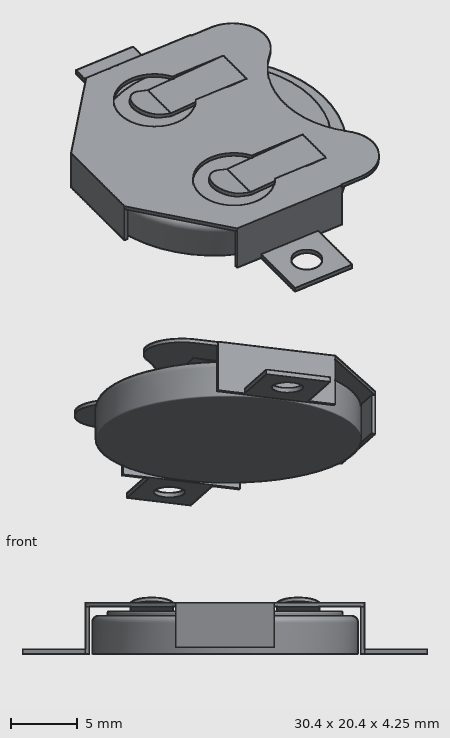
import cadquery as cq
import math


cell_radius = 10.0
can_height = 2.9
can_top_fillet = 0.52
can_bottom_fillet = 0.1
cap_radius = 8.85
cap_top = 3.22
cap_fillet = 0.15

sheet = 0.3
holder_top = 3.85
plate_bottom = holder_top - sheet
side_x = 10.5
side_half_length = 4.68
front_y = -10.4
front_half_width = 3.7
front_wall_bottom = 0.52

ear_radius = 2.9
ear_x = 7.5
ear_y = 6.48
notch_bottom_y = 6.23

tab_end_x = 15.2
tab_half_width = 2.55
tab_thickness = 0.35
tab_hole_diameter = 2.35
tab_hole_x = 12.85

spring_x = 5.5
spring_width = 3.22
spring_root_y = 5.4
bend_y = -1.35
bend_top = cap_top + sheet
tip_y = -3.62
tip_top = 4.25
opening_radius = 3.085
opening_y = -1.75


def make_cell():
    """Coin cell: a can with rounded rims and a raised terminal cap."""
    can = cq.Workplane("XY").circle(cell_radius).extrude(can_height)
    can = can.faces(">Z").edges().fillet(can_top_fillet)
    can = can.faces("<Z").edges().fillet(can_bottom_fillet)
    cap = cq.Workplane("XY").workplane(offset=can_height).circle(cap_radius).extrude(cap_top - can_height)
    cap = cap.faces(">Z").edges().fillet(cap_fillet)
    return can.union(cap)


def make_plate():
    """Top plate with two ears, a notch tangent to both, and chamfered front corners."""
    rise = notch_bottom_y - ear_y
    notch_radius = (ear_x**2 + rise**2 - ear_radius**2) / (2 * (ear_radius - rise))
    to_notch = math.atan2(rise + notch_radius, ear_x)
    join_x = ear_x - ear_radius * math.cos(to_notch)
    join_y = ear_y + ear_radius * math.sin(to_notch)
    ear_side_x = ear_x + ear_radius
    middle = to_notch / 2
    ear_mid_x = ear_x + ear_radius * math.sin(middle)
    ear_mid_y = ear_y + ear_radius * math.cos(middle)
    return (
        cq.Workplane("XY")
        .workplane(offset=plate_bottom)
        .moveTo(-front_half_width, front_y)
        .lineTo(front_half_width, front_y)
        .lineTo(side_x, -side_half_length)
        .lineTo(side_x, side_half_length)
        .lineTo(ear_side_x, side_half_length)
        .lineTo(ear_side_x, ear_y)
        .threePointArc((ear_mid_x, ear_mid_y), (join_x, join_y))
        .threePointArc((0, notch_bottom_y), (-join_x, join_y))
        .threePointArc((-ear_mid_x, ear_mid_y), (-ear_side_x, ear_y))
        .lineTo(-ear_side_x, side_half_length)
        .lineTo(-side_x, side_half_length)
        .lineTo(-side_x, -side_half_length)
        .close()
        .extrude(sheet)
    )


def make_opening(x):
    """Keyhole cutter: a slot for the spring arm and a round window around its tip."""
    slot_length = spring_root_y - opening_y
    slot = cq.Workplane("XY").box(spring_width, slot_length, holder_top, centered=(True, False, False))
    window = cq.Workplane("XY").circle(opening_radius).extrude(holder_top)
    return slot.union(window).translate((x, opening_y, 0))


def make_side(side):
    """Side wall and its solder tab; side is -1 or 1."""
    wall_x = side * (side_x - sheet / 2)
    wall = cq.Workplane("XY").center(wall_x, 0).rect(sheet, 2 * side_half_length).extrude(holder_top)
    tab_length = tab_end_x - side_x
    tab_center_x = side * (side_x + tab_length / 2)
    tab = cq.Workplane("XY").center(tab_center_x, 0).rect(tab_length, 2 * tab_half_width).extrude(tab_thickness)
    hole = cq.Workplane("XY").center(side * tab_hole_x, 0).circle(tab_hole_diameter / 2).extrude(tab_thickness)
    return wall.union(tab.cut(hole))


def make_holder():
    """Sheet-metal holder: top plate, front wall, side walls and solder tabs."""
    front_wall = (
        cq.Workplane("XY")
        .workplane(offset=front_wall_bottom)
        .center(0, front_y + sheet / 2)
        .rect(2 * front_half_width, sheet)
        .extrude(holder_top - front_wall_bottom)
    )
    holder = make_plate().union(front_wall)
    for side in (-1, 1):
        holder = holder.union(make_side(side)).cut(make_opening(side * spring_x))
    return holder


def make_spring(x):
    """Bent strip sloping down onto the cap, then up to a rounded tip."""
    tip_angle = math.atan2(tip_top - bend_top, bend_y - tip_y)
    bottom_tip_y = tip_y - sheet * math.sin(tip_angle)
    bottom_tip_z = tip_top - sheet * math.cos(tip_angle)
    strip = (
        cq.Workplane("YZ")
        .moveTo(spring_root_y, holder_top)
        .lineTo(bend_y, bend_top)
        .lineTo(tip_y, tip_top)
        .lineTo(bottom_tip_y, bottom_tip_z)
        .lineTo(bend_y, bend_top - sheet)
        .lineTo(spring_root_y, plate_bottom)
        .close()
        .extrude(spring_width / 2, both=True)
    )
    radius = spring_width / 2
    tip_plane = cq.Plane(
        origin=(0, tip_y, tip_top),
        xDir=(1, 0, 0),
        normal=(0, math.sin(tip_angle), math.cos(tip_angle)),
    )
    corners = (
        cq.Workplane(tip_plane)
        .moveTo(-radius, 0)
        .lineTo(-radius, radius)
        .threePointArc((0, 0), (radius, radius))
        .lineTo(radius, 0)
        .lineTo(radius, -sheet)
        .lineTo(-radius, -sheet)
        .close()
        .extrude(sheet, both=True)
    )
    return strip.cut(corners).translate((x, 0, 0))


cell = make_cell()
holder = make_holder()
springs = [make_spring(side * spring_x) for side in (-1, 1)]

result = cq.Compound.makeCompound([cell.val(), holder.val(), *[spring.val() for spring in springs]])